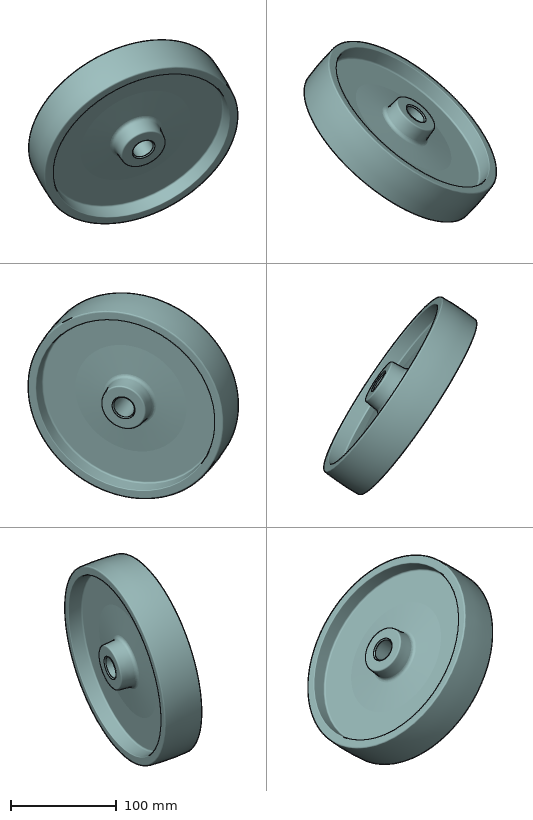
import cadquery as cq

wheel_radius = 99.9
crown_height = 0.8
rim_half_width = 20.0
rim_edge_fillet = 1.4
rim_inner_radius = 90.3
rim_base_radius = 89.7
rim_inner_fillet = 0.8
rim_base_fillet = 1.5

web_half_thickness = 5.5
cone_outer_radius = 56.3
cone_rise = 2.5

hub_half_length = 25.0
hub_face_radius = 22.4
hub_base_radius = 24.0
hub_edge_fillet = 1.4
hub_base_fillet = 3.4

bore_radius = 10.4
bore_chamfer = 1.2

shoulder_radius = wheel_radius - crown_height
cone_top = web_half_thickness + cone_rise


def half_section():
    """Half of the wheel profile, with X along the axle and Y as the radius."""
    return (
        cq.Workplane("XY")
        .moveTo(0, 0)
        .lineTo(-hub_half_length, 0)
        .lineTo(-hub_half_length, hub_face_radius)
        .lineTo(-cone_top, hub_base_radius)
        .lineTo(-web_half_thickness, cone_outer_radius)
        .lineTo(-web_half_thickness, rim_base_radius)
        .lineTo(-rim_half_width, rim_inner_radius)
        .lineTo(-rim_half_width, shoulder_radius)
        .threePointArc((0, wheel_radius), (rim_half_width, shoulder_radius))
        .lineTo(rim_half_width, rim_inner_radius)
        .lineTo(web_half_thickness, rim_base_radius)
        .lineTo(web_half_thickness, cone_outer_radius)
        .lineTo(cone_top, hub_base_radius)
        .lineTo(hub_half_length, hub_face_radius)
        .lineTo(hub_half_length, 0)
        .close()
    )


def ring_edges(body, x, radius):
    """Circular edges of the given radius on both sides of the wheel."""
    tolerance = 0.02
    edges = [
        edge for edge in body.edges("%CIRCLE").vals()
        if abs(abs(edge.Center().x) - x) < tolerance and abs(edge.radius() - radius) < tolerance
    ]
    return body.newObject(edges)


result = half_section().revolve(360, (0, 0, 0), (1, 0, 0))

rounded_corners = [
    (rim_half_width, shoulder_radius, rim_edge_fillet),
    (rim_half_width, rim_inner_radius, rim_inner_fillet),
    (web_half_thickness, rim_base_radius, rim_base_fillet),
    (hub_half_length, hub_face_radius, hub_edge_fillet),
    (cone_top, hub_base_radius, hub_base_fillet),
]
for corner_x, corner_radius, fillet in rounded_corners:
    result = ring_edges(result, corner_x, corner_radius).fillet(fillet)

bore = (
    cq.Workplane("YZ")
    .workplane(offset=-hub_half_length)
    .circle(bore_radius)
    .extrude(2 * hub_half_length)
)
result = result.cut(bore)
result = ring_edges(result, hub_half_length, bore_radius).chamfer(bore_chamfer)